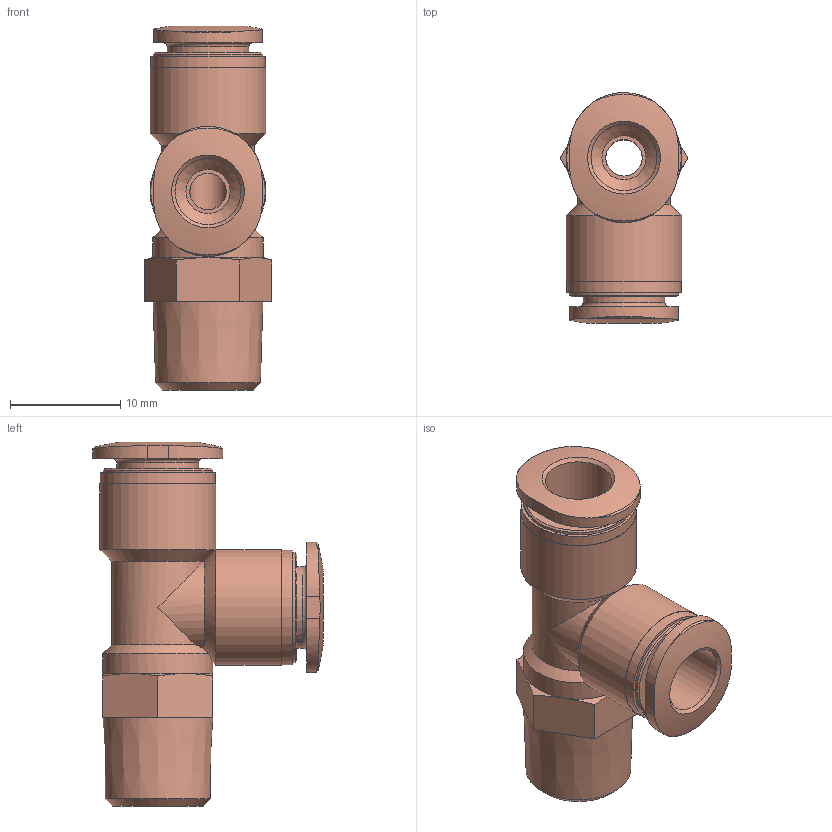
import cadquery as cq
import math


PORT_LENGTH = 15.0
STEM_LENGTH = 18.0

ARM_RADIUS = 4.2
BODY_RADIUS = 5.25
BODY_START = 5.25
BODY_CONE_START = BODY_START - (BODY_RADIUS - ARM_RADIUS)
BODY_END = 12.2
COLLAR_RADIUS = 5.2
COLLAR_START = 11.2

GUIDE_RADIUS = 4.95
GUIDE_END = 12.6
GUIDE_CHAMFER = 0.15

NECK_RADIUS = 3.7
NECK_FILLET = 0.4
FLANGE_START = 13.5
FLANGE_WIDTH = 9.85
FLANGE_LENGTH = 11.8
FACE_DROP = 0.47
FACE_BULGE = 0.03
RIM_CHAMFER = 0.15

SOCKET_RADIUS = 3.0
MOUTH_CHAMFER = 0.3
MOUTH_RADIUS = SOCKET_RADIUS + MOUTH_CHAMFER
SOCKET_FLOOR = 6.5
FLOOR_RADIUS = 2.0
BORE_RADIUS = 1.65

STEM_RADIUS = 5.0
STEM_SHOULDER = 4.2
STEM_CONE_START = STEM_SHOULDER - (STEM_RADIUS - ARM_RADIUS)
HEX_TOP = 6.0
HEX_BOTTOM = 10.0
HEX_FLATS = 2 * STEM_RADIUS
HEX_CORNERS = HEX_FLATS / math.cos(math.radians(30))
HEX_CHAMFER_ANGLE = 15.0
THREAD_TAPER = 1 / 16
THREAD_CHAMFER = 0.65
THREAD_START_RADIUS = 4.98
THREAD_END_RADIUS = THREAD_START_RADIUS - (STEM_LENGTH - THREAD_CHAMFER - HEX_BOTTOM) * THREAD_TAPER / 2


def revolve_profile(points):
    """Solid of revolution about Z from (radius, height) points."""
    profile = cq.Workplane("XZ").polyline(points).close()
    return profile.revolve(360, (0, 0, 0), (0, 1, 0))


def cylinder(radius, start, end):
    return cq.Workplane("XY").workplane(offset=start).circle(radius).extrude(end - start)


def release_flange():
    """Oblong flange, long along Y, trimmed by a shallow dome on its outer face."""
    oblong = (
        cq.Workplane("XY")
        .workplane(offset=FLANGE_START)
        .slot2D(FLANGE_LENGTH, FLANGE_WIDTH, 90)
        .extrude(PORT_LENGTH - FLANGE_START)
    )
    tip_radius = FLANGE_LENGTH / 2
    rim_radius = tip_radius - RIM_CHAMFER
    rim_height = PORT_LENGTH - FACE_DROP
    face_middle = ((rim_radius + MOUTH_RADIUS) / 2, PORT_LENGTH - FACE_DROP / 2 + FACE_BULGE)
    dome = (
        cq.Workplane("XZ")
        .moveTo(0, FLANGE_START)
        .lineTo(tip_radius, FLANGE_START)
        .lineTo(tip_radius, rim_height - RIM_CHAMFER)
        .lineTo(rim_radius, rim_height)
        .threePointArc(face_middle, (MOUTH_RADIUS, PORT_LENGTH))
        .lineTo(0, PORT_LENGTH)
        .close()
        .revolve(360, (0, 0, 0), (0, 1, 0))
    )
    return oblong.intersect(dome)


def release_neck():
    """Round neck that flares into the underside of the flange through a fillet."""
    fillet_start = FLANGE_START - NECK_FILLET
    fillet_offset = NECK_FILLET * (1 - math.sqrt(0.5))
    fillet_middle = (NECK_RADIUS + fillet_offset, FLANGE_START - fillet_offset)
    return (
        cq.Workplane("XZ")
        .moveTo(0, BODY_END)
        .lineTo(NECK_RADIUS, BODY_END)
        .lineTo(NECK_RADIUS, fillet_start)
        .threePointArc(fillet_middle, (NECK_RADIUS + NECK_FILLET, FLANGE_START))
        .lineTo(0, FLANGE_START)
        .close()
        .revolve(360, (0, 0, 0), (0, 1, 0))
    )


def port_outside():
    """Outer shape of one push-in port, pointing up +Z from the origin."""
    body = revolve_profile([
        (0, 0),
        (ARM_RADIUS, 0),
        (ARM_RADIUS, BODY_CONE_START),
        (BODY_RADIUS, BODY_START),
        (BODY_RADIUS, COLLAR_START),
        (COLLAR_RADIUS, COLLAR_START),
        (COLLAR_RADIUS, BODY_END),
        (GUIDE_RADIUS, BODY_END),
        (GUIDE_RADIUS, GUIDE_END - GUIDE_CHAMFER),
        (GUIDE_RADIUS - GUIDE_CHAMFER, GUIDE_END),
        (0, GUIDE_END),
    ])
    return body.union(release_neck()).union(release_flange())


def port_inside():
    """Tube socket with chamfered mouth and conical floor, plus the flow bore."""
    floor_depth = SOCKET_FLOOR - (SOCKET_RADIUS - FLOOR_RADIUS)
    return revolve_profile([
        (0, 0),
        (BORE_RADIUS, 0),
        (BORE_RADIUS, floor_depth),
        (FLOOR_RADIUS, floor_depth),
        (SOCKET_RADIUS, SOCKET_FLOOR),
        (SOCKET_RADIUS, PORT_LENGTH - MOUTH_CHAMFER),
        (MOUTH_RADIUS, PORT_LENGTH),
        (0, PORT_LENGTH),
    ])


def hexagon():
    """Hexagon with corners on X and its upper corners chamfered."""
    corner_radius = HEX_CORNERS / 2
    chamfer_drop = (corner_radius - STEM_RADIUS) * math.tan(math.radians(HEX_CHAMFER_ANGLE))
    prism = (
        cq.Workplane("XY")
        .workplane(offset=-HEX_BOTTOM)
        .polygon(6, HEX_CORNERS)
        .extrude(HEX_BOTTOM - HEX_TOP)
    )
    chamfer_cone = revolve_profile([
        (0, -HEX_BOTTOM),
        (corner_radius, -HEX_BOTTOM),
        (corner_radius, -HEX_TOP - chamfer_drop),
        (STEM_RADIUS, -HEX_TOP),
        (0, -HEX_TOP),
    ])
    return prism.intersect(chamfer_cone)


def stem():
    """Shouldered stem below the crossing, with hexagon and tapered thread blank."""
    turned = revolve_profile([
        (0, 0),
        (ARM_RADIUS, 0),
        (ARM_RADIUS, -STEM_CONE_START),
        (STEM_RADIUS, -STEM_SHOULDER),
        (STEM_RADIUS, -HEX_BOTTOM),
        (THREAD_START_RADIUS, -HEX_BOTTOM),
        (THREAD_END_RADIUS, -STEM_LENGTH + THREAD_CHAMFER),
        (THREAD_END_RADIUS - THREAD_CHAMFER, -STEM_LENGTH),
        (0, -STEM_LENGTH),
    ])
    return turned.union(hexagon())


def branch(shape):
    """Turn a shape pointing up +Z so that it points to -Y."""
    return shape.rotate((0, 0, 0), (1, 0, 0), 90)


run = stem().union(port_outside())
outside = run.union(branch(port_outside()), clean=False)
stem_bore = cylinder(BORE_RADIUS, -STEM_LENGTH, 0)
passages = port_inside().union(stem_bore).union(branch(port_inside()))
result = outside.cut(passages, clean=False)